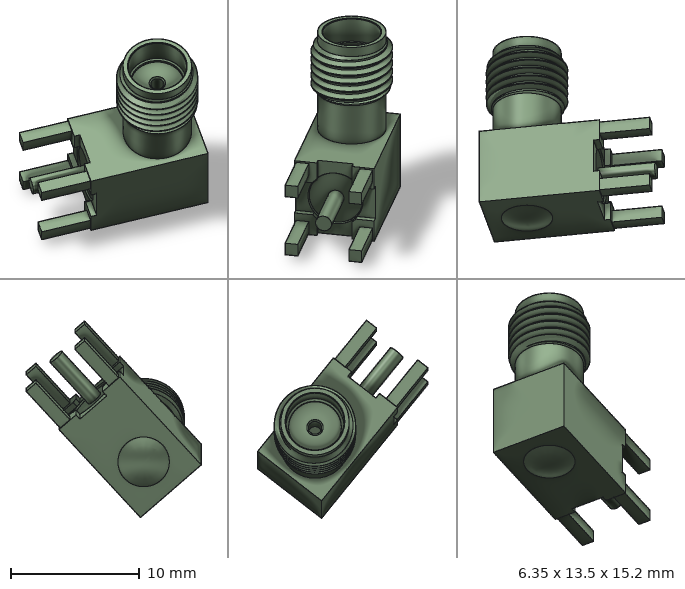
import cadquery as cq
import math


BODY_SIDE = 6.35
BODY_LENGTH = 9.5
BODY_BACK_Y = BODY_SIDE / 2
BODY_FRONT_Y = BODY_BACK_Y - BODY_LENGTH
BODY_TOP_Z = BODY_SIDE / 2

CHANNEL_WIDTH = 2.79
CHANNEL_DEPTH = 0.46
CHANNEL_FLOOR_Y = BODY_FRONT_Y + CHANNEL_DEPTH

INSULATOR_RADIUS = 2.13
RECESS_MOUTH_RADIUS = 2.2
RECESS_DEPTH = 0.15

LEG_SIDE = 1.016
LEG_OFFSET = 2.54
LEG_LENGTH = 3.96
CENTRE_PIN_DIAMETER = 1.27
CENTRE_PIN_SETBACK = 0.06
LEG_END_Y = BODY_FRONT_Y - LEG_LENGTH

DOME_RADIUS = 2.0
DOME_HEIGHT = 0.4

BARREL_RADIUS = 2.665
BARREL_LENGTH = 8.45
BARREL_TOP_Z = BODY_TOP_Z + BARREL_LENGTH

THREAD_RADIUS = 6.35 / 2
THREAD_ROOT_RADIUS = 2.77
THREAD_PITCH = 25.4 / 36
THREAD_FLANK_ANGLE = 30
THREAD_CREST_WIDTH = THREAD_PITCH / 8
THREAD_TOP_Z = BARREL_TOP_Z - 0.8
THREAD_BOTTOM_Z = BARREL_TOP_Z - 5.1
THREAD_CREST_Z = BARREL_TOP_Z - 1.35
CUTTER_OVERLAP = 0.03

BORE_RADIUS = 2.26
BORE_DEPTH = 2.0
BORE_CHAMFER = 0.06
STEP_RADIUS = 2.05
STEP_DEPTH = 0.2
SOCKET_RADIUS = 0.51
SOCKET_MOUTH_RADIUS = CENTRE_PIN_DIAMETER / 2
SOCKET_DEPTH = 2.0


def make_body():
    """Block with the crossed channels cut into its front face."""
    body_mid_y = (BODY_BACK_Y + BODY_FRONT_Y) / 2
    body = cq.Workplane("XY").box(BODY_SIDE, BODY_LENGTH, BODY_SIDE).translate((0, body_mid_y, 0))
    for width, height in ((CHANNEL_WIDTH, BODY_SIDE), (BODY_SIDE, CHANNEL_WIDTH)):
        channel = cq.Workplane("XY").box(width, 2 * CHANNEL_DEPTH, height)
        body = body.cut(channel.translate((0, BODY_FRONT_Y, 0)))
    return body


def make_front_recess():
    """Tapered recess in the channel floor, carried straight out through the feet."""
    recess_profile = [
        (0, CHANNEL_FLOOR_Y + RECESS_DEPTH),
        (INSULATOR_RADIUS, CHANNEL_FLOOR_Y + RECESS_DEPTH),
        (RECESS_MOUTH_RADIUS, CHANNEL_FLOOR_Y),
        (RECESS_MOUTH_RADIUS, BODY_FRONT_Y),
        (0, BODY_FRONT_Y),
    ]
    return cq.Workplane("XY").polyline(recess_profile).close().revolve(360, (0, 0, 0), (0, 1, 0))


def make_legs():
    """Four square legs on the front feet."""
    centres = [(x, z) for x in (-LEG_OFFSET, LEG_OFFSET) for z in (-LEG_OFFSET, LEG_OFFSET)]
    plane = cq.Workplane("XZ", origin=(0, BODY_FRONT_Y, 0))
    return plane.pushPoints(centres).rect(LEG_SIDE, LEG_SIDE).extrude(LEG_LENGTH)


def make_centre_pin():
    """Round pin rising from the recess floor."""
    root_y = CHANNEL_FLOOR_Y + RECESS_DEPTH
    length = root_y - (LEG_END_Y + CENTRE_PIN_SETBACK)
    return cq.Workplane("XZ", origin=(0, root_y, 0)).circle(CENTRE_PIN_DIAMETER / 2).extrude(length)


def make_dome():
    """Spherical cap under the body."""
    sphere_radius = (DOME_RADIUS**2 + DOME_HEIGHT**2) / (2 * DOME_HEIGHT)
    bottom_z = -BODY_SIDE / 2
    sphere = cq.Workplane("XY").sphere(sphere_radius)
    sphere = sphere.translate((0, 0, bottom_z - DOME_HEIGHT + sphere_radius))
    keep = cq.Workplane("XY", origin=(0, 0, bottom_z)).circle(BODY_SIDE / 2).extrude(-2 * DOME_HEIGHT)
    return sphere.intersect(keep)


def make_thread_groove():
    """Right-hand helical V-groove cutter that runs past both ends of the thread."""
    slope = math.tan(math.radians(THREAD_FLANK_ANGLE))
    mouth_half = (THREAD_PITCH - THREAD_CREST_WIDTH) / 2 + CUTTER_OVERLAP * slope
    cutter_radius = THREAD_RADIUS + CUTTER_OVERLAP
    root_half = mouth_half - (cutter_radius - THREAD_ROOT_RADIUS) * slope
    turns_below = math.ceil((THREAD_CREST_Z - THREAD_BOTTOM_Z) / THREAD_PITCH) + 1
    turns_above = math.ceil((THREAD_TOP_Z - THREAD_CREST_Z) / THREAD_PITCH) + 1
    start_z = THREAD_CREST_Z - (turns_below + 0.5) * THREAD_PITCH
    helix_height = (turns_below + turns_above) * THREAD_PITCH
    helix = cq.Wire.makeHelix(THREAD_PITCH, helix_height, THREAD_ROOT_RADIUS, cq.Vector(0, 0, start_z))
    groove_profile = [
        (THREAD_ROOT_RADIUS, start_z - root_half),
        (cutter_radius, start_z - mouth_half),
        (cutter_radius, start_z + mouth_half),
        (THREAD_ROOT_RADIUS, start_z + root_half),
    ]
    return cq.Workplane("XZ").polyline(groove_profile).close().sweep(helix, isFrenet=True)


def make_barrel():
    """Barrel with a threaded collar that has 45 degree ends."""
    bevel = THREAD_RADIUS - BARREL_RADIUS
    barrel_profile = [
        (0, BODY_TOP_Z),
        (BARREL_RADIUS, BODY_TOP_Z),
        (BARREL_RADIUS, THREAD_BOTTOM_Z),
        (THREAD_RADIUS, THREAD_BOTTOM_Z + bevel),
        (THREAD_RADIUS, THREAD_TOP_Z - bevel),
        (BARREL_RADIUS, THREAD_TOP_Z),
        (BARREL_RADIUS, BARREL_TOP_Z),
        (0, BARREL_TOP_Z),
    ]
    blank = cq.Workplane("YZ").polyline(barrel_profile).close().revolve(360, (0, 0, 0), (0, 1, 0))
    return blank.cut(make_thread_groove())


def make_bore():
    """Chamfered bore, insulator step and countersunk contact socket."""
    bore_floor_z = BARREL_TOP_Z - BORE_DEPTH
    step_floor_z = bore_floor_z - STEP_DEPTH
    countersink_depth = SOCKET_MOUTH_RADIUS - SOCKET_RADIUS
    bore_profile = [
        (0, BARREL_TOP_Z),
        (BORE_RADIUS + BORE_CHAMFER, BARREL_TOP_Z),
        (BORE_RADIUS, BARREL_TOP_Z - BORE_CHAMFER),
        (BORE_RADIUS, bore_floor_z),
        (STEP_RADIUS, bore_floor_z),
        (STEP_RADIUS, step_floor_z),
        (SOCKET_MOUTH_RADIUS, step_floor_z),
        (SOCKET_RADIUS, step_floor_z - countersink_depth),
        (SOCKET_RADIUS, step_floor_z - SOCKET_DEPTH),
        (0, step_floor_z - SOCKET_DEPTH),
    ]
    return cq.Workplane("XZ").polyline(bore_profile).close().revolve(360, (0, 0, 0), (0, 1, 0))


housing = make_body().cut(make_front_recess()).union(make_legs()).union(make_centre_pin())
result = housing.union(make_dome()).union(make_barrel()).cut(make_bore())